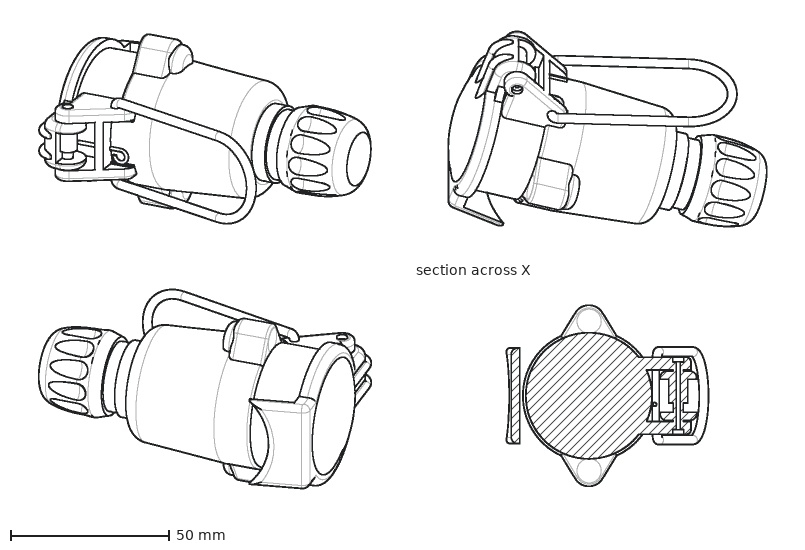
import cadquery as cq
import math


LENGTH = 100.9

DOME_EDGE_RADIUS = 18.9
LID_FACE_X = 4.8
LID_BACK_X = 9.9
LID_RADIUS = 22.8
LID_ROUND = 2.4

BARREL_RADIUS = 20.0
BODY_FRONT_X = 25.3
BODY_RADIUS = 20.9
BODY_EDGE_ROUND = 0.9
TAPER_START_X = 37.3
TAPER_BACK_RADIUS = 18.6
BODY_BACK_X = 69.3
BACK_ROUND = 5.3
COLLAR_RADIUS = 12.4
COLLAR_BACK_X = 73.9
NECK_RADIUS = 11.3

NUT_FRONT_X = 78.2
NUT_FRONT_RADIUS = 12.7
NUT_RIM_X = 82.3
NUT_RIM_RADIUS = 14.0
NUT_STRAIGHT_END_X = 86.4
NUT_SHOULDER_X = 97.4
NUT_SHOULDER_RADIUS = 12.2
NUT_END_RADIUS = 8.6
FLUTE_COUNT = 12
FLUTE_FRONT_X = 83.0
FLUTE_BACK_X = 97.9
FLUTE_AXIS_RADIUS = 14.4
FLUTE_RADIUS = 3.0
FLUTE_TAIL_RADIUS = 1.3

LUG_TOP_Z = 28.7
LUG_ROUND_RADIUS = 5.0
LUG_BASE_Z = 15.1
LUG_FLANK_ANGLE = 31.6
LUG_FRONT_ROUND = 0.8
LUG_BACK_ROUND = 1.8
NUB_BACK_X = 40.5
NUB_RADIUS = 6.1
NUB_TOP_Z = 27.1
NUB_ROUND = 2.6
SCREW_HEAD_RADIUS = 3.8
SCREW_HEAD_RISE = 0.7

PIVOT_X = 12.3
PIVOT_Y = -28.3
BRACKET_EYE_RADIUS = 4.0
BRACKET_HALF_WIDTH = 12.2
BRACKET_GAP_HALF = 8.1
BRACKET_FRONT_X = 10.7
BRACKET_BACK_X = 31.4
BRACKET_SLOPE = 31.0
BRACKET_ROOT_Y = -14.1
BRACKET_CORNER_ROUND = 4.0
BRACKET_EDGE_ROUND = 1.5
WEB_FRONT_X = 21.4
WEB_BACK_X = 23.7
WEB_STEP_X = 20.2
WEB_FOOT_X = 18.2
WEB_STEP_Y = -22.2
PAD_BACK_X = 28.3
LEDGE_WIDTH = 0.5
LEDGE_Y = -20.7
PIN_RECESS_RADIUS = 1.7
PIN_RECESS_DEPTH = 1.5
PIN_BORE_RADIUS = 0.5

KNUCKLE_HALF_WIDTH = 7.9
KNUCKLE_RADIUS = 5.9
KNUCKLE_EDGE_ROUND = 2.2
KNUCKLE_FLARE_HALF_WIDTH = 10.5
KNUCKLE_FLARE_START_Y = -20.2
KNUCKLE_FLARE_END_Y = -24.3
SPRING_SLOT_HALF_WIDTH = 5.1
SPRING_SLOT_FRONT_X = 11.0
RIB_Z = 3.5
RIB_WIDTH = 2.8
RIB_FRONT_X = 2.8
RIB_START_Y = -13.1

SPRING_RADIUS = 3.0
SPRING_LOW_Z = -2.3
SPRING_WIRE = 1.2
SPRING_LEG_Z = -2.7
SPRING_LEG_END_X = 27.2
SPRING_EYE_RADIUS = 2.1
SPRING_LEG_Y = -20.8

TAB_HALF_WIDTH = 15.1
TAB_CORNER_Y = 23.6
TAB_THICKNESS = 2.7
TAB_ANGLE = 11.0
TAB_TIP_X = 23.9
TAB_HOLLOW_DEPTH = 6.1
TAB_CORNER_ROUND = 2.4
TAB_EDGE_ROUND = 2.0

WIRE_DIAMETER = 3.0
WIRE_HALF_SPAN = 13.9
WIRE_PIVOT_X = 25.9
WIRE_PIVOT_Y = -21.6
WIRE_STRAIGHT_END_X = 67.5
WIRE_ANGLE = 15.0
WIRE_BEND_RADIUS = 1.7


def on_circle(cx, cy, radius, degrees):
    angle = math.radians(degrees)
    return (cx + radius * math.cos(angle), cy + radius * math.sin(angle))


def cylinder_x(x0, x1, radius, y=0.0, z=0.0):
    return cq.Workplane("YZ", origin=(x0, y, z)).circle(radius).extrude(x1 - x0)


def cylinder_z(z0, z1, radius, x, y):
    return cq.Workplane("XY", origin=(x, y, z0)).circle(radius).extrude(z1 - z0)


def box(x0, x1, y0, y1, z0, z1):
    return cq.Workplane("XY").box(x1 - x0, y1 - y0, z1 - z0, centered=False).translate((x0, y0, z0))


def about_axis(profile):
    return profile.close().revolve(360, (0, 0, 0), (1, 0, 0))


def lid():
    dome_radius = (DOME_EDGE_RADIUS**2 + LID_FACE_X**2) / (2 * LID_FACE_X)
    half_spread = math.degrees(math.asin(DOME_EDGE_RADIUS / dome_radius)) / 2
    dome_middle = on_circle(dome_radius, 0, dome_radius, 180 - half_spread)
    round_middle = on_circle(LID_FACE_X + LID_ROUND, LID_RADIUS - LID_ROUND, LID_ROUND, 135)
    return about_axis(
        cq.Workplane("XY")
        .moveTo(0, 0)
        .threePointArc(dome_middle, (LID_FACE_X, DOME_EDGE_RADIUS))
        .lineTo(LID_FACE_X, LID_RADIUS - LID_ROUND)
        .threePointArc(round_middle, (LID_FACE_X + LID_ROUND, LID_RADIUS))
        .lineTo(LID_BACK_X, LID_RADIUS)
        .lineTo(LID_BACK_X, 0)
    )


def housing():
    body = about_axis(
        cq.Workplane("XY")
        .moveTo(BODY_FRONT_X, 0)
        .lineTo(BODY_FRONT_X, BODY_RADIUS)
        .lineTo(TAPER_START_X, BODY_RADIUS)
        .lineTo(BODY_BACK_X, TAPER_BACK_RADIUS)
        .lineTo(BODY_BACK_X, 0)
    )
    body = body.faces("<X").edges().fillet(BODY_EDGE_ROUND)
    body = body.faces(">X").edges().fillet(BACK_ROUND)
    barrel = cylinder_x(LID_FACE_X, TAPER_START_X, BARREL_RADIUS)
    collar = cylinder_x(TAPER_START_X, COLLAR_BACK_X, COLLAR_RADIUS)
    neck = cylinder_x(TAPER_START_X, NUT_RIM_X, NECK_RADIUS)
    return body.union(barrel).union(collar).union(neck)


def gland_nut():
    nut = about_axis(
        cq.Workplane("XY")
        .moveTo(NUT_FRONT_X, 0)
        .lineTo(NUT_FRONT_X, NUT_FRONT_RADIUS)
        .lineTo(NUT_RIM_X, NUT_RIM_RADIUS)
        .lineTo(NUT_STRAIGHT_END_X, NUT_RIM_RADIUS)
        .tangentArcPoint((NUT_SHOULDER_X, NUT_SHOULDER_RADIUS), relative=False)
        .tangentArcPoint((LENGTH, NUT_END_RADIUS), relative=False)
        .lineTo(LENGTH, 0)
    )
    belly_x = FLUTE_FRONT_X + FLUTE_RADIUS
    flute = (
        cq.Workplane("XY")
        .moveTo(FLUTE_FRONT_X, 0)
        .threePointArc(on_circle(belly_x, 0, FLUTE_RADIUS, 135), (belly_x, FLUTE_RADIUS))
        .tangentArcPoint((FLUTE_BACK_X, FLUTE_TAIL_RADIUS), relative=False)
        .lineTo(FLUTE_BACK_X, 0)
    )
    flute = about_axis(flute).translate((0, FLUTE_AXIS_RADIUS, 0))
    for i in range(FLUTE_COUNT):
        nut = nut.cut(flute.rotate((0, 0, 0), (1, 0, 0), i * 360 / FLUTE_COUNT))
    return nut


def lug():
    """Upper screw lug with tapered flanks, a nub behind it and a screw head in front."""
    centre_z = LUG_TOP_Z - LUG_ROUND_RADIUS
    tangent_y, tangent_z = on_circle(0, centre_z, LUG_ROUND_RADIUS, LUG_FLANK_ANGLE)
    base_y = tangent_y + (tangent_z - LUG_BASE_Z) * math.tan(math.radians(LUG_FLANK_ANGLE))
    block = (
        cq.Workplane("YZ", origin=(BODY_FRONT_X, 0, 0))
        .moveTo(-base_y, LUG_BASE_Z)
        .lineTo(-tangent_y, tangent_z)
        .threePointArc((0, LUG_TOP_Z), (tangent_y, tangent_z))
        .lineTo(base_y, LUG_BASE_Z)
        .close()
        .extrude(TAPER_START_X - BODY_FRONT_X)
    )
    block = block.faces("<X").edges("not <Z").fillet(LUG_FRONT_ROUND)
    block = block.faces(">X").edges("not <Z").fillet(LUG_BACK_ROUND)
    nub_z = NUB_TOP_Z - NUB_RADIUS
    nub = cylinder_x(TAPER_START_X - LUG_BACK_ROUND, NUB_BACK_X, NUB_RADIUS, z=nub_z)
    nub = nub.faces(">X").edges().fillet(NUB_ROUND)
    screw_head = about_axis(
        cq.Workplane("XY")
        .moveTo(BODY_FRONT_X - SCREW_HEAD_RISE, 0)
        .lineTo(BODY_FRONT_X, SCREW_HEAD_RADIUS)
        .lineTo(BODY_FRONT_X + SCREW_HEAD_RISE, SCREW_HEAD_RADIUS)
        .lineTo(BODY_FRONT_X + SCREW_HEAD_RISE, 0)
    ).translate((0, 0, centre_z))
    return block.union(nub).union(screw_head)


def bracket_plate():
    """Upper hinge plate, an eye around the pivot running back to the housing."""
    tangent = on_circle(PIVOT_X, PIVOT_Y, BRACKET_EYE_RADIUS, BRACKET_SLOPE - 90)
    corner_y = tangent[1] + (BRACKET_BACK_X - tangent[0]) * math.tan(math.radians(BRACKET_SLOPE))
    eye_top_y = PIVOT_Y + math.sqrt(BRACKET_EYE_RADIUS**2 - (PIVOT_X - BRACKET_FRONT_X) ** 2)
    plate = (
        cq.Workplane("XY", origin=(0, 0, BRACKET_GAP_HALF))
        .moveTo(BRACKET_FRONT_X, BRACKET_ROOT_Y)
        .lineTo(BRACKET_FRONT_X, eye_top_y)
        .threePointArc(on_circle(PIVOT_X, PIVOT_Y, BRACKET_EYE_RADIUS, 210), tangent)
        .lineTo(BRACKET_BACK_X, corner_y)
        .lineTo(BRACKET_BACK_X, BRACKET_ROOT_Y)
        .close()
        .extrude(BRACKET_HALF_WIDTH - BRACKET_GAP_HALF)
    )
    plate = plate.edges("|Z and >X").edges("<Y").fillet(BRACKET_CORNER_ROUND)
    return plate.faces(">Z").edges("not >Y").fillet(BRACKET_EDGE_ROUND)


def bracket_web():
    """Cross wall between the plates, its lower edge following their slope."""
    def slope_y(x):
        eye = BRACKET_EYE_RADIUS / math.cos(math.radians(BRACKET_SLOPE))
        return PIVOT_Y - eye + (x - PIVOT_X) * math.tan(math.radians(BRACKET_SLOPE))

    return (
        cq.Workplane("XY", origin=(0, 0, -BRACKET_GAP_HALF))
        .moveTo(WEB_FRONT_X, slope_y(WEB_FRONT_X))
        .lineTo(WEB_BACK_X, slope_y(WEB_BACK_X))
        .lineTo(WEB_BACK_X, BRACKET_ROOT_Y)
        .lineTo(WEB_FOOT_X, BRACKET_ROOT_Y)
        .lineTo(WEB_FOOT_X, -BARREL_RADIUS)
        .lineTo(WEB_STEP_X, WEB_STEP_Y)
        .lineTo(WEB_FRONT_X, WEB_STEP_Y)
        .close()
        .extrude(2 * BRACKET_GAP_HALF)
    )


def bracket_pad():
    """Filling between the plates, flush with the body surface."""
    pad = cylinder_x(WEB_FRONT_X, PAD_BACK_X, BODY_RADIUS)
    between_plates = box(
        WEB_FRONT_X, PAD_BACK_X, -BODY_RADIUS, BRACKET_ROOT_Y, -BRACKET_GAP_HALF, BRACKET_GAP_HALF
    )
    return pad.intersect(between_plates)


def bracket_ledge():
    """Narrow step along the foot of the upper plate, behind the web."""
    return box(
        WEB_BACK_X, BRACKET_BACK_X, LEDGE_Y, BRACKET_ROOT_Y, BRACKET_GAP_HALF - LEDGE_WIDTH, BRACKET_GAP_HALF
    )


def knuckle_outline(front_x, round_radius, start_y):
    """Side outline of the lid arm, curling from its front face around the pivot."""
    bottom_y = PIVOT_Y - KNUCKLE_RADIUS
    return (
        cq.Workplane("XY")
        .moveTo(front_x, start_y)
        .lineTo(front_x, bottom_y + round_radius)
        .threePointArc(
            on_circle(front_x + round_radius, bottom_y + round_radius, round_radius, 225),
            (front_x + round_radius, bottom_y),
        )
        .lineTo(PIVOT_X, bottom_y)
        .threePointArc(
            on_circle(PIVOT_X, PIVOT_Y, KNUCKLE_RADIUS, -45),
            (PIVOT_X + KNUCKLE_RADIUS, PIVOT_Y),
        )
        .threePointArc(
            on_circle(PIVOT_X, PIVOT_Y, KNUCKLE_RADIUS, 45),
            (PIVOT_X, PIVOT_Y + KNUCKLE_RADIUS),
        )
        .lineTo(LID_BACK_X, PIVOT_Y + KNUCKLE_RADIUS)
        .lineTo(LID_BACK_X, start_y)
        .close()
    )


def spring_slot():
    reach = 2 * KNUCKLE_RADIUS
    return box(
        SPRING_SLOT_FRONT_X, PIVOT_X + reach, PIVOT_Y - reach, PIVOT_Y + reach,
        -SPRING_SLOT_HALF_WIDTH, SPRING_SLOT_HALF_WIDTH,
    )


def lid_hinge():
    arm = knuckle_outline(LID_FACE_X, KNUCKLE_RADIUS, BRACKET_ROOT_Y).extrude(KNUCKLE_HALF_WIDTH, both=True)
    arm = arm.faces("<Z or >Z").edges("not >Y").fillet(KNUCKLE_EDGE_ROUND)
    flare = (
        cq.Workplane("YZ", origin=(LID_FACE_X + LID_ROUND, 0, 0))
        .moveTo(BRACKET_ROOT_Y, KNUCKLE_FLARE_HALF_WIDTH)
        .lineTo(KNUCKLE_FLARE_START_Y, KNUCKLE_FLARE_HALF_WIDTH)
        .lineTo(KNUCKLE_FLARE_END_Y, KNUCKLE_HALF_WIDTH)
        .lineTo(KNUCKLE_FLARE_END_Y, -KNUCKLE_HALF_WIDTH)
        .lineTo(KNUCKLE_FLARE_START_Y, -KNUCKLE_FLARE_HALF_WIDTH)
        .lineTo(BRACKET_ROOT_Y, -KNUCKLE_FLARE_HALF_WIDTH)
        .close()
        .extrude(LID_BACK_X - LID_FACE_X - LID_ROUND)
    )
    return arm.union(flare).cut(spring_slot())


def rib():
    """Round-backed stiffening rib over the lid and around the hinge."""
    bead = RIB_WIDTH / 2
    inset_x = RIB_FRONT_X + bead
    bottom_y = PIVOT_Y - KNUCKLE_RADIUS + bead
    bend = KNUCKLE_RADIUS - bead
    path = (
        cq.Workplane("XY")
        .moveTo(inset_x, RIB_START_Y - bead)
        .lineTo(inset_x, bottom_y + bend)
        .threePointArc(on_circle(inset_x + bend, bottom_y + bend, bend, 225), (inset_x + bend, bottom_y))
    )
    bar = cq.Workplane("XZ", origin=(inset_x, RIB_START_Y - bead, 0)).circle(bead).sweep(path)
    start = cq.Workplane("XY").sphere(bead).translate((inset_x, RIB_START_Y - bead, 0))
    end = cq.Workplane("XY").sphere(bead).translate((inset_x + bend, bottom_y, 0))
    filler = box(inset_x, LID_BACK_X, PIVOT_Y, RIB_START_Y - bead, -bead, bead)
    return bar.union(start).union(end).union(filler)


def spring():
    coil = cylinder_z(SPRING_LOW_Z, SPRING_SLOT_HALF_WIDTH, SPRING_RADIUS, PIVOT_X, PIVOT_Y)
    eye_z = SPRING_LEG_Z - SPRING_EYE_RADIUS
    path = (
        cq.Workplane("XZ", origin=(0, SPRING_LEG_Y, 0))
        .moveTo(PIVOT_X, SPRING_LEG_Z)
        .lineTo(SPRING_LEG_END_X, SPRING_LEG_Z)
        .threePointArc(
            on_circle(SPRING_LEG_END_X, eye_z, SPRING_EYE_RADIUS, -45),
            on_circle(SPRING_LEG_END_X, eye_z, SPRING_EYE_RADIUS, 180),
        )
    )
    leg = (
        cq.Workplane("YZ", origin=(PIVOT_X, SPRING_LEG_Y, SPRING_LEG_Z))
        .circle(SPRING_WIRE / 2)
        .sweep(path)
    )
    return coil.union(leg)


def pin_bore():
    bore = cylinder_z(-BRACKET_HALF_WIDTH, BRACKET_HALF_WIDTH, PIN_BORE_RADIUS, PIVOT_X, PIVOT_Y)
    floor_z = BRACKET_HALF_WIDTH - PIN_RECESS_DEPTH
    recess = cylinder_z(floor_z, BRACKET_HALF_WIDTH, PIN_RECESS_RADIUS, PIVOT_X, PIVOT_Y)
    return bore.union(recess).union(recess.mirror("XY"))


def hinge_pin():
    half_length = BRACKET_HALF_WIDTH - PIN_RECESS_DEPTH
    return cylinder_z(-half_length, half_length, PIN_RECESS_RADIUS, PIVOT_X, PIVOT_Y)


def lid_tab():
    """Bent finger tab with a hollowed tip."""
    slope = math.tan(math.radians(TAB_ANGLE))
    drop = TAB_THICKNESS / math.cos(math.radians(TAB_ANGLE))
    tip_top_y = TAB_CORNER_Y + (TAB_TIP_X - LID_FACE_X - TAB_CORNER_ROUND) * slope
    inner_y = tip_top_y - drop - (TAB_TIP_X - LID_BACK_X) * slope
    tab = (
        cq.Workplane("XY", origin=(0, 0, -TAB_HALF_WIDTH))
        .moveTo(LID_FACE_X, 0)
        .lineTo(LID_FACE_X, TAB_CORNER_Y - TAB_CORNER_ROUND * slope)
        .lineTo(TAB_TIP_X, tip_top_y)
        .lineTo(TAB_TIP_X, tip_top_y - drop)
        .lineTo(LID_BACK_X, inner_y)
        .lineTo(LID_BACK_X, 0)
        .close()
        .extrude(2 * TAB_HALF_WIDTH)
    )
    front_corner = cq.selectors.NearestToPointSelector((LID_FACE_X, TAB_CORNER_Y, 0))
    tab = tab.edges("|Z").edges(front_corner).fillet(TAB_CORNER_ROUND)
    hollow_radius = (TAB_HALF_WIDTH**2 + TAB_HOLLOW_DEPTH**2) / (2 * TAB_HOLLOW_DEPTH)
    hollow = (
        cq.Workplane("XZ", origin=(TAB_TIP_X - TAB_HOLLOW_DEPTH + hollow_radius, 0, 0))
        .circle(hollow_radius)
        .extrude(-LENGTH)
    )
    tab = tab.cut(hollow)
    outer_face = cq.selectors.NearestToPointSelector((LID_BACK_X, TAB_CORNER_Y + TAB_THICKNESS, 0))
    return tab.faces(outer_face).edges().fillet(TAB_EDGE_ROUND)


def locking_wire():
    """Wire loop in its own plane, then tilted about the bracket pivot."""
    reach = (WIRE_STRAIGHT_END_X - WIRE_PIVOT_X) / math.cos(math.radians(WIRE_ANGLE))
    bend_middle = on_circle(WIRE_BEND_RADIUS, WIRE_HALF_SPAN - WIRE_BEND_RADIUS, WIRE_BEND_RADIUS, 135)
    root = BRACKET_GAP_HALF + BRACKET_EDGE_ROUND
    path = (
        cq.Workplane("XZ")
        .moveTo(0, root)
        .lineTo(0, WIRE_HALF_SPAN - WIRE_BEND_RADIUS)
        .threePointArc(bend_middle, (WIRE_BEND_RADIUS, WIRE_HALF_SPAN))
        .lineTo(reach, WIRE_HALF_SPAN)
        .threePointArc((reach + WIRE_HALF_SPAN, 0), (reach, -WIRE_HALF_SPAN))
        .lineTo(WIRE_BEND_RADIUS, -WIRE_HALF_SPAN)
        .threePointArc((bend_middle[0], -bend_middle[1]), (0, WIRE_BEND_RADIUS - WIRE_HALF_SPAN))
        .lineTo(0, -root)
    )
    loop = cq.Workplane("XY", origin=(0, 0, root)).circle(WIRE_DIAMETER / 2).sweep(path)
    return loop.rotate((0, 0, 0), (0, 0, 1), -WIRE_ANGLE).translate((WIRE_PIVOT_X, WIRE_PIVOT_Y, 0))


upper_lug = lug()
upper_plate = bracket_plate().union(bracket_ledge())

result = housing().union(lid()).union(gland_nut())
result = result.union(upper_lug).union(upper_lug.mirror("XY"))
result = result.union(upper_plate).union(upper_plate.mirror("XY")).union(bracket_web()).union(bracket_pad())
result = result.union(lid_hinge()).union(lid_tab())
for rib_z in (-RIB_Z, RIB_Z):
    result = result.union(rib().translate((0, 0, rib_z)))
result = result.union(hinge_pin()).union(spring()).cut(pin_bore())
result = result.union(locking_wire())